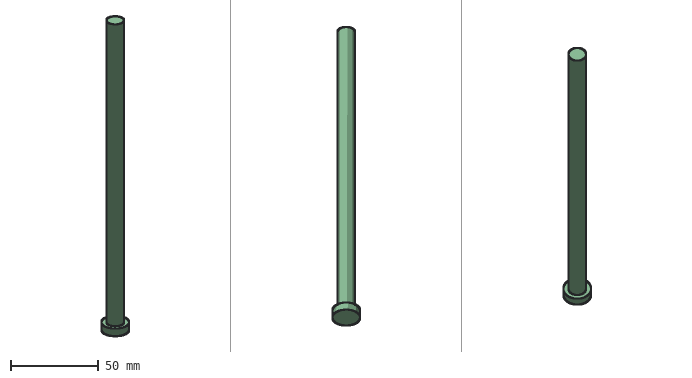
import cadquery as cq

total_length = 200.0
head_diameter = 16.0
head_height = 5.0
shaft_diameter = 10.2

shaft_length = total_length - head_height

head = cq.Workplane("XY").circle(head_diameter / 2).extrude(head_height)
result = head.faces(">Z").workplane().circle(shaft_diameter / 2).extrude(shaft_length)